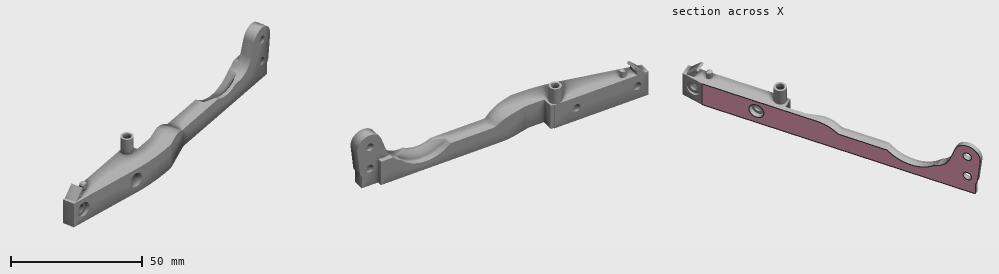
import cadquery as cq
import math

LENGTH = 126.5
WIDTH = 14.0
DECK_HEIGHT = 11.0
BAR_HEIGHT = 8.0

HANDLE_END_WIDTH = 5.0
SHOULDER_Y = 43.3
SHOULDER_X = 5.0
CORNER_STEP_X = 0.4
CORNER_STEP_Y = 41.9
BAR_LEFT_X = 3.0
BAR_RIGHT_X = 10.0
NECK_LEFT_START_Y = 52.0
NECK_LEFT_MID = (3.7, 57.5)
NECK_LEFT_END_Y = 63.4
BULGE_START = (12.6, 34.5)
BULGE_MID = (13.7, 42.0)
BULGE_END = (WIDTH, 52.9)
NECK_RIGHT_END_Y = 67.3

RISE_LOW_Y = 67.3
RISE_HIGH_Y = 57.5
RISE_LOW_RADIUS = 2.7

LUG_X = 5.0
LUG_HOLE_Y = 120.9
LUG_TOP_HOLE_Z = 18.0
LUG_LOW_HOLE_Z = 8.0
LUG_TOP_RADIUS = LENGTH - LUG_HOLE_Y
LUG_PEAK_Z = LUG_TOP_HOLE_Z + LUG_TOP_RADIUS
LUG_LOW_RADIUS = 4.4
LUG_FOOT_Y = 124.5
LUG_SLOPE = math.radians(20)
LUG_BLEND_RADIUS = 8.6
LEDGE_Y = 117.1
LEDGE_Z = 11.0
HOLE_DIAMETER = 3.4

HOLLOW_Y = 97.0
HOLLOW_Z = 19.6
HOLLOW_RADIUS = 16.0
HOLLOW_SMALL_RADIUS = 13.2
HOLLOW_CONE_X = 6.6
HOLLOW_LAND_X = 8.5

SCREW_YS = (4.9, 32.0)
SCREW_Z = 6.0
COUNTERBORE_DIAMETER = 6.1
COUNTERBORE_FLOOR_X = 5.0

POST_X = 2.5
POST_Y = 40.0
POST_DIAMETER = 5.0
POST_TOP = 18.0
POST_BORE = 3.4
POST_THROUGH_BORE = 2.7
PIN_Y = 10.0
PIN_DIAMETER = 2.5
PIN_TOP = 13.8
PIN_CHAMFER = 0.8

HOOK_FRONT_Y = 1.5
HOOK_BACK_Y = 5.0
HOOK_RISE = 4.0
HOOK_RUN = 4.3
HOOK_TIP = 0.8

RELIEF_HEIGHT = 0.8
RELIEF_END_Y = 50.1


def prism_x(profile, x_start, x_end):
    """Extrude a closed YZ profile between two X positions."""
    return profile.extrude(x_end - x_start).translate((x_start, 0, 0))


def cylinder_x(y, z, diameter, x_start, x_end):
    return prism_x(cq.Workplane("YZ").center(y, z).circle(diameter / 2), x_start, x_end)


def cylinder_z(y, diameter, z_start, z_end):
    base = cq.Workplane("XY").workplane(offset=z_start).center(POST_X, y)
    return base.circle(diameter / 2).extrude(z_end - z_start)


def plan_solid(height):
    """The plan outline raised to the given height."""
    outline = (
        cq.Workplane("XY")
        .moveTo(0, 0)
        .lineTo(HANDLE_END_WIDTH, 0)
        .lineTo(*BULGE_START)
        .threePointArc(BULGE_MID, BULGE_END)
        .lineTo(BAR_RIGHT_X, NECK_RIGHT_END_Y)
        .lineTo(BAR_RIGHT_X, LENGTH)
        .lineTo(LUG_X, LENGTH)
        .lineTo(LUG_X, LEDGE_Y)
        .lineTo(BAR_LEFT_X, LEDGE_Y)
        .lineTo(BAR_LEFT_X, NECK_LEFT_END_Y)
        .tangentArcPoint(NECK_LEFT_MID, relative=False)
        .lineTo(SHOULDER_X, NECK_LEFT_START_Y)
        .lineTo(SHOULDER_X, SHOULDER_Y)
        .lineTo(CORNER_STEP_X, SHOULDER_Y)
        .lineTo(CORNER_STEP_X, CORNER_STEP_Y)
        .lineTo(0, CORNER_STEP_Y)
        .close()
    )
    return outline.extrude(height)


def side_solid():
    """The side profile extruded across the full width of the part."""
    drop = DECK_HEIGHT - BAR_HEIGHT
    run = RISE_LOW_Y - RISE_HIGH_Y
    rise_angle = 2 * math.atan(drop / run)
    meet_y = RISE_LOW_Y - RISE_LOW_RADIUS * math.sin(rise_angle)
    meet_z = BAR_HEIGHT + RISE_LOW_RADIUS * (1 - math.cos(rise_angle))

    cos_slope = math.cos(LUG_SLOPE)
    sin_slope = math.sin(LUG_SLOPE)
    flank_top_y = LUG_HOLE_Y - LUG_TOP_RADIUS * cos_slope
    flank_top_z = LUG_TOP_HOLE_Z + LUG_TOP_RADIUS * sin_slope
    flank_low_z = BAR_HEIGHT + LUG_BLEND_RADIUS * (1 - sin_slope)
    flank_low_y = flank_top_y - (flank_top_z - flank_low_z) * math.tan(LUG_SLOPE)
    blend_y = flank_low_y - LUG_BLEND_RADIUS * cos_slope

    hole_gap = LUG_TOP_HOLE_Z - LUG_LOW_HOLE_Z
    lean = math.asin((LUG_TOP_RADIUS - LUG_LOW_RADIUS) / hole_gap)
    rear_top = (
        LUG_HOLE_Y + LUG_TOP_RADIUS * math.cos(lean),
        LUG_TOP_HOLE_Z - LUG_TOP_RADIUS * math.sin(lean),
    )
    rear_low = (
        LUG_HOLE_Y + LUG_LOW_RADIUS * math.cos(lean),
        LUG_LOW_HOLE_Z - LUG_LOW_RADIUS * math.sin(lean),
    )
    foot_offset = LUG_FOOT_Y - LUG_HOLE_Y
    foot_z = LUG_LOW_HOLE_Z - math.sqrt(LUG_LOW_RADIUS**2 - foot_offset**2)

    profile = (
        cq.Workplane("YZ")
        .moveTo(0, 0)
        .lineTo(0, DECK_HEIGHT)
        .lineTo(RISE_HIGH_Y, DECK_HEIGHT)
        .tangentArcPoint((meet_y, meet_z), relative=False)
        .tangentArcPoint((RISE_LOW_Y, BAR_HEIGHT), relative=False)
        .lineTo(blend_y, BAR_HEIGHT)
        .tangentArcPoint((flank_low_y, flank_low_z), relative=False)
        .lineTo(flank_top_y, flank_top_z)
        .threePointArc((LUG_HOLE_Y, LUG_PEAK_Z), rear_top)
        .lineTo(*rear_low)
        .tangentArcPoint((LUG_FOOT_Y, foot_z), relative=False)
        .lineTo(LUG_FOOT_Y, 0)
        .close()
    )
    return prism_x(profile, 0, WIDTH)


def ledge_cut():
    """Clears the bar-side layer above the ledge beside the lug."""
    height = LUG_PEAK_Z - LEDGE_Z
    block = cq.Workplane("XY").box(LUG_X, LENGTH - NECK_RIGHT_END_Y, height, centered=False)
    return block.translate((0, NECK_RIGHT_END_Y, LEDGE_Z))


def hollow_cut():
    """Stepped round hollow with a conical wall, turned about an X axis."""
    profile = (
        cq.Workplane("XY")
        .moveTo(0, 0)
        .lineTo(0, HOLLOW_RADIUS)
        .lineTo(HOLLOW_CONE_X, HOLLOW_RADIUS)
        .lineTo(HOLLOW_LAND_X, HOLLOW_SMALL_RADIUS)
        .lineTo(WIDTH, HOLLOW_SMALL_RADIUS)
        .lineTo(WIDTH, 0)
        .close()
    )
    return profile.revolve(360, (0, 0), (1, 0)).translate((0, HOLLOW_Y, HOLLOW_Z))


def hook():
    """Hook with a sloping front, and a back edge undercut parallel to that slope."""
    tip_front_y = HOOK_FRONT_Y + HOOK_RUN
    top = DECK_HEIGHT + HOOK_RISE
    tip_back_y = tip_front_y + HOOK_TIP
    tip_back_z = top - HOOK_TIP
    throat_z = tip_back_z - (tip_back_y - HOOK_BACK_Y) * HOOK_RISE / HOOK_RUN
    profile = (
        cq.Workplane("YZ")
        .moveTo(HOOK_FRONT_Y, 0)
        .lineTo(HOOK_FRONT_Y, DECK_HEIGHT)
        .lineTo(tip_front_y, top)
        .lineTo(tip_back_y, tip_back_z)
        .lineTo(HOOK_BACK_Y, throat_z)
        .lineTo(HOOK_BACK_Y, 0)
        .close()
    )
    return prism_x(profile, 0, HANDLE_END_WIDTH)


def pin():
    """Locating pin with a flat bevel facing the hook."""
    bevel = (
        cq.Workplane("YZ")
        .moveTo(PIN_Y - PIN_DIAMETER / 2, PIN_TOP)
        .lineTo(PIN_Y - PIN_DIAMETER / 2 + PIN_CHAMFER, PIN_TOP)
        .lineTo(PIN_Y - PIN_DIAMETER / 2, PIN_TOP - PIN_CHAMFER)
        .close()
    )
    body = cylinder_z(PIN_Y, PIN_DIAMETER, 0, PIN_TOP)
    return body.cut(prism_x(bevel, 0, HANDLE_END_WIDTH))


def relief_cut():
    """Low undercut below the shoulder, ending on the extended slanted neck face."""
    mid_x, mid_y = NECK_LEFT_MID
    slope = (SHOULDER_X - mid_x) / (mid_y - NECK_LEFT_START_Y)
    relief_x = SHOULDER_X + slope * (NECK_LEFT_START_Y - RELIEF_END_Y)
    outline = (
        cq.Workplane("XY")
        .moveTo(SHOULDER_X, SHOULDER_Y)
        .lineTo(relief_x, SHOULDER_Y)
        .lineTo(relief_x, RELIEF_END_Y)
        .lineTo(SHOULDER_X, NECK_LEFT_START_Y)
        .close()
    )
    return outline.extrude(RELIEF_HEIGHT)


result = plan_solid(LUG_PEAK_Z).intersect(side_solid())
result = result.cut(ledge_cut()).cut(hollow_cut()).cut(relief_cut())

result = result.union(hook()).union(pin())
result = result.union(cylinder_z(POST_Y, POST_DIAMETER, DECK_HEIGHT, POST_TOP))
result = result.cut(cylinder_z(POST_Y, POST_BORE, DECK_HEIGHT, POST_TOP))
result = result.cut(cylinder_z(POST_Y, POST_THROUGH_BORE, 0, POST_TOP))

for hole_z in (LUG_TOP_HOLE_Z, LUG_LOW_HOLE_Z):
    result = result.cut(cylinder_x(LUG_HOLE_Y, hole_z, HOLE_DIAMETER, 0, WIDTH))
for screw_y in SCREW_YS:
    result = result.cut(cylinder_x(screw_y, SCREW_Z, HOLE_DIAMETER, 0, WIDTH))
    result = result.cut(
        cylinder_x(screw_y, SCREW_Z, COUNTERBORE_DIAMETER, COUNTERBORE_FLOOR_X, WIDTH)
    )